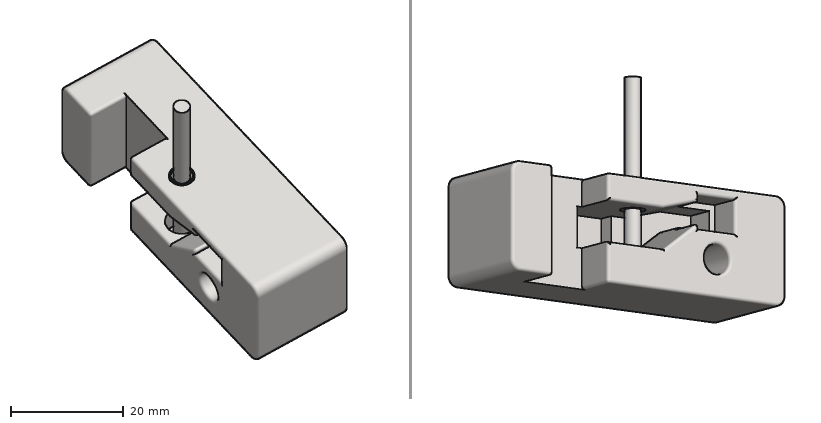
import cadquery as cq
LENGTH = 60.0
DEPTH = 20.0
HEIGHT = 20.0
CORNER_RADIUS = 2.0
EDGE_RADIUS = 0.6

NOTCH_LEFT = 8.95
NOTCH_RIGHT = 21.0
NOTCH_DEPTH = 8.0

CHANNEL_DEPTH = 11.9
CHANNEL_LEFT = 20.0
CHANNEL_FLOOR = 7.5
CHANNEL_CEILING = 15.0
RAMP_START = 33.3
RAMP_END = 40.85
END_FLOOR = 13.2
END_CEILING = 17.0
CHANNEL_RIGHT = 47.6

POCKET_MARGIN = 1.2
POCKET_DEPTH = 6.2
POCKET_LEFT = RAMP_END
LIP_RADIUS = 0.4
POCKET_RIGHT = CHANNEL_RIGHT + POCKET_MARGIN
POCKET_BOTTOM = END_FLOOR - POCKET_MARGIN
POCKET_TOP = END_CEILING + POCKET_MARGIN

CHAMBER_RIGHT = 30.2
CHAMBER_BACK = 15.0
CHAMBER_FLOOR = 3.5

MOUNT_X = 45.0
MOUNT_Z = 7.0
MOUNT_DIAMETER = 5.5

PIN_X = LENGTH / 2
PIN_Y = 5.0
PIN_DIAMETER = 3.0
PIN_TOP = 39.0
WELL_DIAMETER = 6.0
WELL_FLOOR = 3.0
PASSAGE_DIAMETER = 1.8
PASSAGE_Z = 4.8
INSERT_DIAMETER = 4.6
INSERT_COLLAR_DIAMETER = 4.2
INSERT_COLLAR_HEIGHT = 0.3
INSERT_MOUTH_DIAMETER = 3.9


def box_between(x_range, y_range, z_range):
    """Box that spans the given start and end along each axis."""
    sizes = [end - start for start, end in (x_range, y_range, z_range)]
    corner = (x_range[0], y_range[0], z_range[0])
    return cq.Workplane("XY").box(*sizes, centered=False).translate(corner)


def pin_cylinder(diameter, bottom, top):
    """Upright cylinder on the pin axis."""
    base = cq.Workplane("XY", origin=(PIN_X, PIN_Y, bottom))
    return base.circle(diameter / 2).extrude(top - bottom)


def y_cylinder(diameter, x, z, start, end):
    """Cylinder along Y between two depths."""
    base = cq.Workplane("XZ", origin=(x, start, z))
    return base.circle(diameter / 2).extrude(start - end)


def make_channel(depth):
    """Stepped channel cut in from the front face to a given depth."""
    outline = [
        (CHANNEL_LEFT, CHANNEL_FLOOR),
        (RAMP_START, CHANNEL_FLOOR),
        (RAMP_END, END_FLOOR),
        (CHANNEL_RIGHT, END_FLOOR),
        (CHANNEL_RIGHT, END_CEILING),
        (RAMP_END, END_CEILING),
        (RAMP_START, CHANNEL_CEILING),
        (CHANNEL_LEFT, CHANNEL_CEILING),
    ]
    return cq.Workplane("XZ").polyline(outline).close().extrude(-depth)


def make_housing():
    body = box_between((0, LENGTH), (0, DEPTH), (0, HEIGHT)).edges("|Y").fillet(CORNER_RADIUS)

    body = body.cut(box_between((NOTCH_LEFT, NOTCH_RIGHT), (0, NOTCH_DEPTH), (0, HEIGHT)))
    body = body.cut(make_channel(POCKET_DEPTH))
    body = body.cut(
        box_between((POCKET_LEFT, POCKET_RIGHT), (0, POCKET_DEPTH), (POCKET_BOTTOM, POCKET_TOP))
    )
    body = body.cut(y_cylinder(MOUNT_DIAMETER, MOUNT_X, MOUNT_Z, 0, DEPTH))

    lip = cq.selectors.NearestToPointSelector((POCKET_LEFT, POCKET_DEPTH / 2, END_FLOOR))
    body = body.edges("|Y").edges(lip).fillet(LIP_RADIUS)

    notch_sides = cq.selectors.BoxSelector(
        (NOTCH_LEFT - EDGE_RADIUS, 0, -EDGE_RADIUS),
        (NOTCH_RIGHT + EDGE_RADIUS, NOTCH_DEPTH, HEIGHT + EDGE_RADIUS),
    )
    notch_edges = body.faces("<Z or >Z").edges("|Y").edges(notch_sides)
    body = body.faces("<Y or >Y").edges().add(notch_edges).fillet(EDGE_RADIUS)

    body = body.cut(make_channel(CHANNEL_DEPTH))
    body = body.cut(
        box_between(
            (CHANNEL_LEFT, CHAMBER_RIGHT),
            (CHANNEL_DEPTH, CHAMBER_BACK),
            (CHAMBER_FLOOR, CHANNEL_CEILING),
        )
    )
    body = body.cut(pin_cylinder(WELL_DIAMETER, WELL_FLOOR, CHANNEL_FLOOR))
    body = body.cut(y_cylinder(PASSAGE_DIAMETER, PIN_X, PASSAGE_Z, PIN_Y, CHAMBER_BACK))
    return body.cut(pin_cylinder(INSERT_DIAMETER, CHANNEL_CEILING, HEIGHT))


def make_insert():
    collar_bottom = HEIGHT - INSERT_COLLAR_HEIGHT
    sleeve = pin_cylinder(INSERT_DIAMETER, CHANNEL_CEILING, collar_bottom)
    sleeve = sleeve.union(pin_cylinder(INSERT_COLLAR_DIAMETER, collar_bottom, HEIGHT))
    sleeve = sleeve.cut(pin_cylinder(PIN_DIAMETER, CHANNEL_CEILING, HEIGHT))
    mouth_chamfer = (INSERT_MOUTH_DIAMETER - PIN_DIAMETER) / 2
    return sleeve.faces(">Z").edges(cq.selectors.RadiusNthSelector(0)).chamfer(mouth_chamfer)


def make_pin():
    return pin_cylinder(PIN_DIAMETER, WELL_FLOOR, PIN_TOP)


housing = make_housing()
insert = make_insert()
pin = make_pin()

result = cq.Compound.makeCompound([housing.val(), insert.val(), pin.val()])